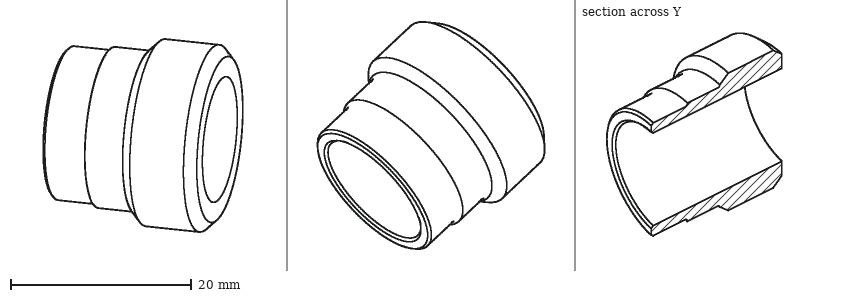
import cadquery as cq
import math

length = 18.0
bore_radius = 14 / 2
nose_radius = 17.2 / 2
middle_radius = 18.0 / 2
collar_radius = 20.9 / 2

middle_start = 5.0
collar_start = 9.45

nose_chamfer = 0.3
bore_chamfer = 0.3
shoulder_fillet = 0.3
collar_chamfer = 1.2

cone_start_radius = middle_radius + shoulder_fillet
cone_length = collar_radius - cone_start_radius


def shoulder_fillet_arc(profile, shoulder_x, radius):
    """Run along a cylinder, then curve outward to meet a shoulder face."""
    diagonal_offset = shoulder_fillet * math.sqrt(0.5)
    arc_center_x = shoulder_x - shoulder_fillet
    arc_center_radius = radius + shoulder_fillet
    return profile.lineTo(arc_center_x, radius).threePointArc(
        (arc_center_x + diagonal_offset, arc_center_radius - diagonal_offset),
        (shoulder_x, arc_center_radius),
    )


profile = (
    cq.Workplane("XY")
    .moveTo(bore_chamfer, bore_radius)
    .lineTo(0, bore_radius + bore_chamfer)
    .lineTo(0, nose_radius - nose_chamfer)
    .lineTo(nose_chamfer, nose_radius)
)
profile = shoulder_fillet_arc(profile, middle_start, nose_radius)
profile = profile.lineTo(middle_start, middle_radius)
profile = shoulder_fillet_arc(profile, collar_start, middle_radius)
profile = (
    profile.lineTo(collar_start + cone_length, collar_radius)
    .lineTo(length - collar_chamfer, collar_radius)
    .lineTo(length, collar_radius - collar_chamfer)
    .lineTo(length, bore_radius)
    .close()
)

result = profile.revolve(360, (0, 0, 0), (1, 0, 0))